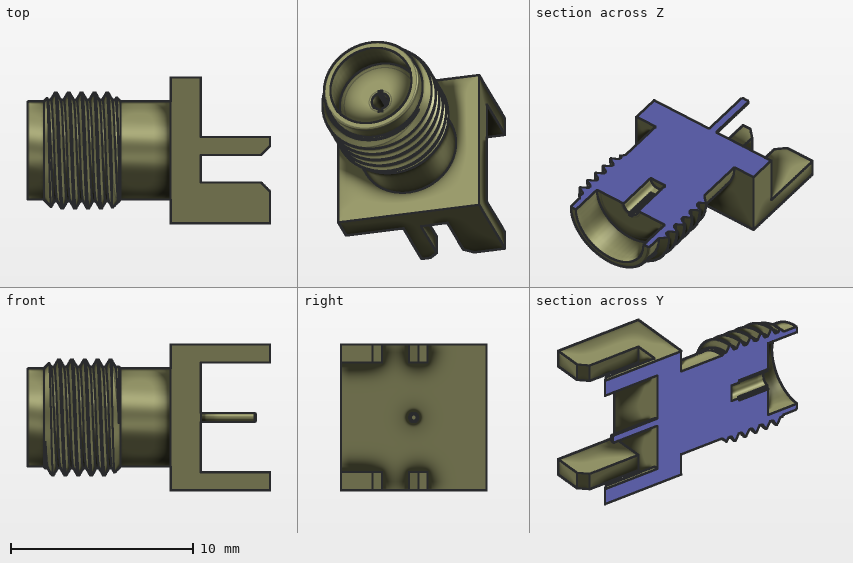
import cadquery as cq
import math


FLANGE_SIZE = 8.0
FLANGE_THICKNESS = 1.65
LEG_LENGTH = 3.8
LEG_THICKNESS = 1.0
LEG_CHAMFER = 0.5
WIDE_LEG_WIDTH = 2.25
LEG_GAP = 1.5
NARROW_LEG_WIDTH = 1.0

BARREL_LENGTH = 7.85
BARREL_RADIUS = 2.7
BARREL_RIM_FILLET = 0.1
BORE_RADIUS = 2.3
BORE_DEPTH = 1.94

THREAD_RADIUS = 6.35 / 2
THREAD_PITCH = 25.4 / 36
THREAD_HALF_ANGLE = math.radians(30)
THREAD_SETBACK = 0.9
THREAD_LENGTH = 4.2
THREAD_DEPTH = 5 / 8 * THREAD_PITCH / (2 * math.tan(THREAD_HALF_ANGLE))
ROOT_FLAT = THREAD_PITCH / 4
GROOVE_START = 0.32
GROOVE_TURNS = 7
GROOVE_OVERCUT = 0.05

INSULATOR_RADIUS = 2.05
INSULATOR_LENGTH = 4.0
CONTACT_RADIUS = 1.27 / 2
CONTACT_LENGTH = 3.0
SOCKET_RADIUS = 0.485
SOCKET_DEPTH = 2.5
SOCKET_SLOT_WIDTH = 0.2
SOCKET_SLOT_DEPTH = 2.0

PIN_RADIUS = 0.25
PIN_LENGTH = 3.03
PIN_CHAMFER = 0.08

RIM_X = -BARREL_LENGTH
BORE_FLOOR_X = RIM_X + BORE_DEPTH


def rod(start_x, length, radius):
    """Solid cylinder on the connector axis, running toward +X."""
    return cq.Workplane("YZ", origin=(start_x, 0, 0)).circle(radius).extrude(length)


def make_flange():
    """Square flange with two pairs of legs; each pair leaves a gap for the board edge."""
    half = FLANGE_SIZE / 2
    leg_end = FLANGE_THICKNESS + LEG_LENGTH
    gap_bottom = WIDE_LEG_WIDTH - half
    gap_top = gap_bottom + LEG_GAP
    narrow_leg_top = gap_top + NARROW_LEG_WIDTH
    outline = [
        (0, -half),
        (leg_end, -half),
        (leg_end, gap_bottom - LEG_CHAMFER),
        (leg_end - LEG_CHAMFER, gap_bottom),
        (FLANGE_THICKNESS, gap_bottom),
        (FLANGE_THICKNESS, gap_top),
        (leg_end - LEG_CHAMFER, gap_top),
        (leg_end, gap_top + LEG_CHAMFER),
        (leg_end, narrow_leg_top),
        (FLANGE_THICKNESS, narrow_leg_top),
        (FLANGE_THICKNESS, half),
        (0, half),
    ]
    body = cq.Workplane("XY").polyline(outline).close().extrude(half, both=True)
    space_between_legs = cq.Workplane("XY").box(
        LEG_LENGTH, FLANGE_SIZE, FLANGE_SIZE - 2 * LEG_THICKNESS, centered=(False, True, True)
    )
    return body.cut(space_between_legs.translate((FLANGE_THICKNESS, 0, 0)))


def make_thread_groove():
    """Right-handed helical groove, wound around Z and then laid along X.

    The section is a trapezoid of (radius, axial offset) corners. Each corner traces a helix, and
    ruled faces between neighbouring helices close the groove.
    """
    root_radius = THREAD_RADIUS - THREAD_DEPTH
    outer_radius = THREAD_RADIUS + GROOVE_OVERCUT
    half_root = ROOT_FLAT / 2
    half_outer = half_root + (outer_radius - root_radius) * math.tan(THREAD_HALF_ANGLE)
    section = [
        (root_radius, -half_root),
        (outer_radius, -half_outer),
        (outer_radius, half_outer),
        (root_radius, half_root),
    ]
    end_offset = THREAD_PITCH * GROOVE_TURNS
    helices = []
    for radius, offset in section:
        helix = cq.Wire.makeHelix(THREAD_PITCH, end_offset, radius)
        helices.append(helix.translate(cq.Vector(0, 0, offset)))
    faces = []
    for index, helix in enumerate(helices):
        faces.append(cq.Face.makeRuledSurface(helices[index - 1], helix))
    for z in (0, end_offset):
        corners = [cq.Vector(radius, 0, offset + z) for radius, offset in section]
        faces.append(cq.Face.makeFromWires(cq.Wire.makePolygon(corners, close=True)))
    groove = cq.Workplane(cq.Solid.makeSolid(cq.Shell.makeShell(faces)))
    along_x = groove.rotate((0, 0, 0), (0, 1, 0), 90)
    return along_x.translate((RIM_X + GROOVE_START, 0, 0))


def make_thread():
    """Threaded band whose ends are chamfered down to the barrel surface."""
    band = rod(RIM_X + THREAD_SETBACK, THREAD_LENGTH, THREAD_RADIUS)
    chamfered_band = band.edges("%CIRCLE").chamfer(THREAD_RADIUS - BARREL_RADIUS)
    return band.cut(make_thread_groove()).intersect(chamfered_band)


def make_shell():
    """Flange, barrel and thread, bored for the mating plug and the insulator."""
    barrel = rod(RIM_X, BARREL_LENGTH, BARREL_RADIUS).faces("<X").edges().fillet(BARREL_RIM_FILLET)
    shell = barrel.union(make_flange()).union(make_thread())
    shell = shell.cut(rod(RIM_X, BORE_DEPTH, BORE_RADIUS))
    return shell.cut(rod(BORE_FLOOR_X, INSULATOR_LENGTH, INSULATOR_RADIUS))


def make_insulator():
    """Disc that fills the shell flush with the bore floor, with a seat for the contact."""
    insulator = rod(BORE_FLOOR_X, INSULATOR_LENGTH, INSULATOR_RADIUS)
    return insulator.cut(rod(BORE_FLOOR_X, CONTACT_LENGTH, CONTACT_RADIUS))


def make_contact():
    """Centre contact with a socket, split by one slot in the vertical plane."""
    contact = rod(BORE_FLOOR_X, CONTACT_LENGTH, CONTACT_RADIUS)
    socket = rod(BORE_FLOOR_X, SOCKET_DEPTH, SOCKET_RADIUS)
    slot = cq.Workplane("XY").box(
        SOCKET_SLOT_DEPTH, SOCKET_SLOT_WIDTH, 2 * CONTACT_RADIUS, centered=(False, True, True)
    )
    return contact.cut(socket).cut(slot.translate((BORE_FLOOR_X, 0, 0)))


def make_pin():
    """Solder pin behind the flange, chamfered at its free end."""
    return rod(FLANGE_THICKNESS, PIN_LENGTH, PIN_RADIUS).faces(">X").edges().chamfer(PIN_CHAMFER)


result = make_shell().union(make_pin())
result = result.union(make_insulator(), clean=False)
result = result.union(make_contact(), clean=False)